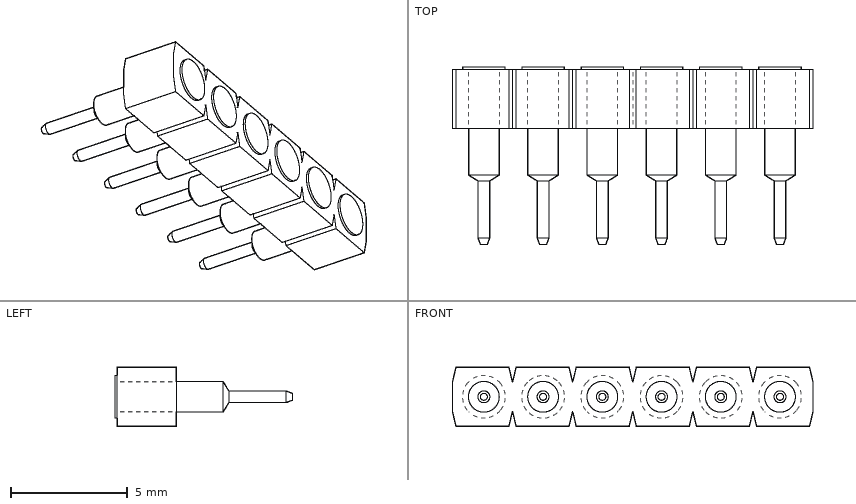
import cadquery as cq


PIN_COUNT = 6
HOUSING_LENGTH = 15.47
HOUSING_DEPTH = 2.54
HOUSING_HEIGHT = 2.54
CELL_LENGTH = HOUSING_LENGTH / PIN_COUNT
NOTCH_DEPTH = HOUSING_HEIGHT / 4
NOTCH_HALF_WIDTH = 0.15

PIN_PITCH = 2.54
PIN_ROW_OFFSET = -0.035

FLANGE_DIAMETER = 1.83
BARREL_DIAMETER = 1.32
TAIL_DIAMETER = 0.51
TIP_DIAMETER = 0.3

PIN_LENGTH = 7.62
FLANGE_THICKNESS = 0.1
BARREL_PROJECTION = 2.0
SHOULDER_LENGTH = 0.25
TIP_LENGTH = 0.28

PIN_REAR = FLANGE_THICKNESS
BARREL_END = -HOUSING_DEPTH - BARREL_PROJECTION
SHOULDER_END = BARREL_END - SHOULDER_LENGTH
PIN_FRONT = PIN_REAR - PIN_LENGTH
TAIL_END = PIN_FRONT + TIP_LENGTH

PIN_POSITIONS = [
    PIN_ROW_OFFSET + (i - (PIN_COUNT - 1) / 2) * PIN_PITCH for i in range(PIN_COUNT)
]


def make_cell(center_x):
    """One housing cell, an octagonal outline extruded from the rear face toward -Y."""
    half_length = CELL_LENGTH / 2
    half_flat = half_length - NOTCH_HALF_WIDTH
    half_height = HOUSING_HEIGHT / 2
    half_side = half_height - NOTCH_DEPTH
    return (
        cq.Workplane("XZ", origin=(center_x, 0, 0))
        .moveTo(-half_flat, half_height)
        .lineTo(half_flat, half_height)
        .lineTo(half_length, half_side)
        .lineTo(half_length, -half_side)
        .lineTo(half_flat, -half_height)
        .lineTo(-half_flat, -half_height)
        .lineTo(-half_length, -half_side)
        .lineTo(-half_length, half_side)
        .close()
        .extrude(HOUSING_DEPTH)
    )


def make_housing():
    """Row of joined cells with one through hole for each pin."""
    cells = [
        make_cell((i - (PIN_COUNT - 1) / 2) * CELL_LENGTH) for i in range(PIN_COUNT)
    ]
    body = cells[0]
    for cell in cells[1:]:
        body = body.union(cell)
    holes = (
        cq.Workplane("XZ")
        .pushPoints([(x, 0) for x in PIN_POSITIONS])
        .circle(BARREL_DIAMETER / 2)
        .extrude(HOUSING_DEPTH)
    )
    return body.cut(holes)


def make_pin(center_x):
    """Turned pin: rear flange, barrel, conical shoulder, thin tail and tapered tip."""
    return (
        cq.Workplane("XY", origin=(center_x, 0, 0))
        .moveTo(0, PIN_REAR)
        .lineTo(FLANGE_DIAMETER / 2, PIN_REAR)
        .lineTo(FLANGE_DIAMETER / 2, 0)
        .lineTo(BARREL_DIAMETER / 2, 0)
        .lineTo(BARREL_DIAMETER / 2, BARREL_END)
        .lineTo(TAIL_DIAMETER / 2, SHOULDER_END)
        .lineTo(TAIL_DIAMETER / 2, TAIL_END)
        .lineTo(TIP_DIAMETER / 2, PIN_FRONT)
        .lineTo(0, PIN_FRONT)
        .close()
        .revolve(360, (0, 0, 0), (0, 1, 0))
    )


housing = make_housing()
pins = [make_pin(x) for x in PIN_POSITIONS]

result = cq.Compound.makeCompound([housing.val(), *[pin.val() for pin in pins]])